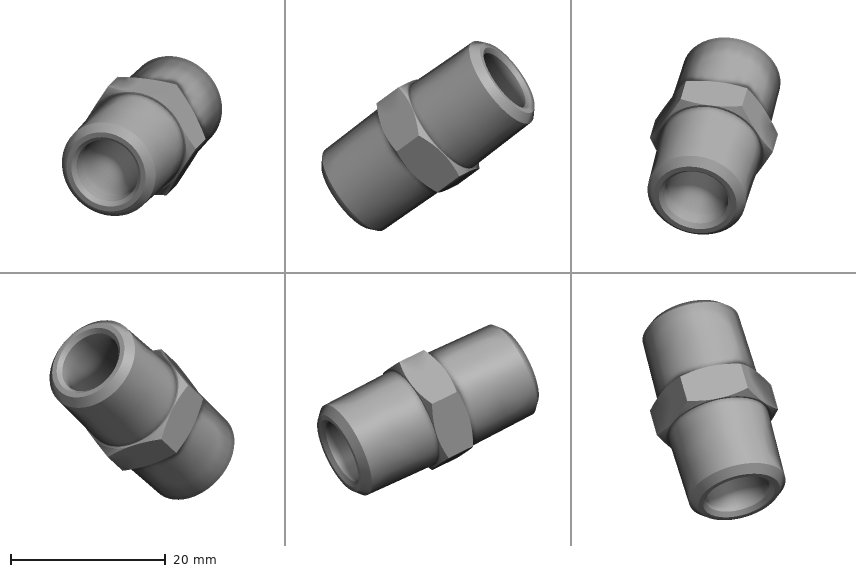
import cadquery as cq
import math

length = 27.0
hex_across_flats = 14.0
hex_width = 5.0
thread_end_diameter = 12.9
thread_root_diameter = 13.42
end_chamfer = 1.0
bore_diameter = 8.5
bore_mouth_diameter = 9.55
bore_chamfer_depth = 0.55
hex_chamfer_angle = 30.0

half_length = length / 2
half_hex = hex_width / 2
hex_across_corners = hex_across_flats / math.cos(math.radians(30))


def revolve_about_y(points):
    """Revolve a (radius, y) outline a full turn about the Y axis."""
    outline = [(y, radius) for radius, y in points]
    return cq.Workplane("YZ").polyline(outline).close().revolve(360, (0, 0), (1, 0))


def hexagon():
    """Hexagon with corners on +X and -X, its corners trimmed by cones on both faces."""
    prism = (
        cq.Workplane("XZ")
        .polygon(6, hex_across_corners)
        .extrude(half_hex, both=True)
    )
    face_radius = hex_across_flats / 2
    corner_radius = hex_across_corners / 2
    trim_depth = (corner_radius - face_radius) * math.tan(math.radians(hex_chamfer_angle))
    trim = revolve_about_y([
        (0, -half_hex),
        (face_radius, -half_hex),
        (corner_radius, -half_hex + trim_depth),
        (corner_radius, half_hex - trim_depth),
        (face_radius, half_hex),
        (0, half_hex),
    ])
    return prism.intersect(trim)


def threaded_ends():
    """Two tapered spigots, widest at the hexagon and chamfered at the tips."""
    tip_radius = thread_end_diameter / 2
    chamfer_y = half_length - end_chamfer
    root_radius = thread_root_diameter / 2
    return revolve_about_y([
        (0, -half_length),
        (tip_radius - end_chamfer, -half_length),
        (tip_radius, -chamfer_y),
        (root_radius, -half_hex),
        (root_radius, half_hex),
        (tip_radius, chamfer_y),
        (tip_radius - end_chamfer, half_length),
        (0, half_length),
    ])


def bore():
    """Through bore with a chamfered mouth at each end."""
    bore_radius = bore_diameter / 2
    mouth_radius = bore_mouth_diameter / 2
    chamfer_y = half_length - bore_chamfer_depth
    return revolve_about_y([
        (0, -half_length),
        (mouth_radius, -half_length),
        (bore_radius, -chamfer_y),
        (bore_radius, chamfer_y),
        (mouth_radius, half_length),
        (0, half_length),
    ])


result = hexagon().union(threaded_ends()).cut(bore())